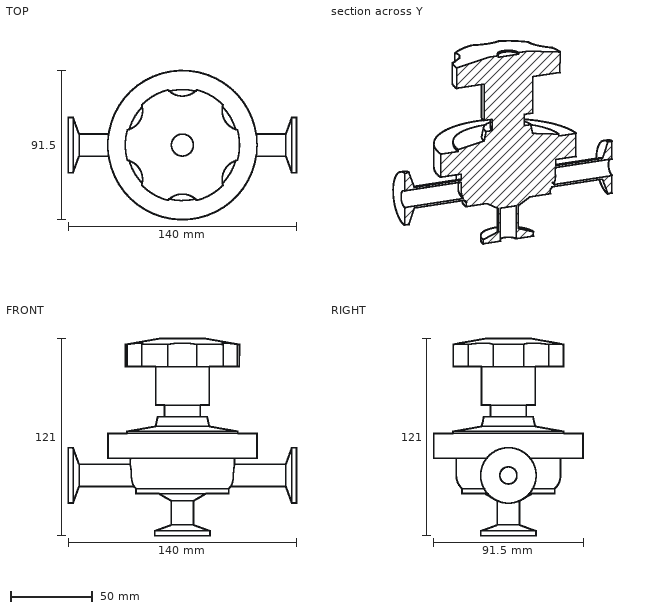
import cadquery as cq
import math


SIDE_PORT_REACH = 70.0
BOTTOM_Z = -37.0
TOP_Z = 84.0

TUBE_RADIUS = 13.8 / 2
BORE_RADIUS = 10.5 / 2
FERRULE_RADIUS = 34.0 / 2
FERRULE_LIP = 3.0
FERRULE_CONE_ANGLE = 20.0

BODY_RADIUS = 64.0 / 2
BODY_CURVE_RADIUS = 11.0
BASE_RADIUS = 57.0 / 2
BASE_TOP_Z = -8.2
BASE_BOTTOM_Z = -11.2
HUB_RADIUS = 14.5
HUB_CONE_ANGLE = 30.0

CLAMP_RADIUS = 91.5 / 2
CLAMP_BOTTOM_Z = 10.5
CLAMP_TOP_Z = 25.8
LID_RADIUS = 68.0 / 2
LID_RIM_TOP_Z = 27.0
DOME_ANGLE = 10.0

NECK_BOTTOM_RADIUS = 33.0 / 2
NECK_TOP_RADIUS = 15.2
NECK_TOP_Z = 36.0
STEM_RADIUS = 22.0 / 2
SLEEVE_RADIUS = 33.0 / 2
SLEEVE_BOTTOM_Z = 43.0

WHEEL_RADIUS = 35.0
WHEEL_BOTTOM_Z = 66.7
WHEEL_FLAT_RADIUS = 13.5
RECESS_RADIUS = 13.5 / 2
RECESS_DEPTH = 1.0
SCALLOP_COUNT = 6
SCALLOP_RADIUS = 12.0
SCALLOP_CENTER_RADIUS = 42.0
FIRST_SCALLOP_ANGLE = 90.0


def cone_rise(outer_radius, inner_radius, angle):
    """Axial height of a cone whose side leans `angle` degrees from the radial plane."""
    return (outer_radius - inner_radius) * math.tan(math.radians(angle))


def cylinder(radius, bottom_z, top_z):
    return cq.Workplane("XY").workplane(offset=bottom_z).circle(radius).extrude(top_z - bottom_z)


def revolve_profile(profile):
    """Turn a closed (radius, z) outline about the Z axis."""
    return profile.close().revolve(360, (0, 0, 0), (0, 1, 0))


def make_body():
    """Cup with a rounded lower edge, a base disc and a conical hub for the lower tube."""
    curve_center = BODY_RADIUS - BODY_CURVE_RADIUS

    def curve_point(z):
        return (curve_center + math.sqrt(BODY_CURVE_RADIUS**2 - z**2), z)

    hub_bottom_z = BASE_BOTTOM_Z - cone_rise(HUB_RADIUS, TUBE_RADIUS, HUB_CONE_ANGLE)
    curve_end = curve_point(BASE_TOP_Z)
    profile = (
        cq.Workplane("XZ")
        .moveTo(0, CLAMP_BOTTOM_Z)
        .lineTo(BODY_RADIUS, CLAMP_BOTTOM_Z)
        .lineTo(BODY_RADIUS, 0)
        .threePointArc(curve_point(BASE_TOP_Z / 2), curve_end)
        .lineTo(BASE_RADIUS, BASE_TOP_Z)
        .lineTo(BASE_RADIUS, BASE_BOTTOM_Z)
        .lineTo(HUB_RADIUS, BASE_BOTTOM_Z)
        .lineTo(TUBE_RADIUS, hub_bottom_z)
        .lineTo(0, hub_bottom_z)
    )
    return revolve_profile(profile)


def make_bonnet():
    """Clamp ring, domed lid, tapered neck, stem and handwheel sleeve."""
    neck_bottom_z = LID_RIM_TOP_Z + cone_rise(LID_RADIUS, NECK_BOTTOM_RADIUS, DOME_ANGLE)
    profile = (
        cq.Workplane("XZ")
        .moveTo(0, CLAMP_BOTTOM_Z)
        .lineTo(CLAMP_RADIUS, CLAMP_BOTTOM_Z)
        .lineTo(CLAMP_RADIUS, CLAMP_TOP_Z)
        .lineTo(LID_RADIUS, CLAMP_TOP_Z)
        .lineTo(LID_RADIUS, LID_RIM_TOP_Z)
        .lineTo(NECK_BOTTOM_RADIUS, neck_bottom_z)
        .lineTo(NECK_TOP_RADIUS, NECK_TOP_Z)
        .lineTo(STEM_RADIUS, NECK_TOP_Z)
        .lineTo(STEM_RADIUS, SLEEVE_BOTTOM_Z)
        .lineTo(SLEEVE_RADIUS, SLEEVE_BOTTOM_Z)
        .lineTo(SLEEVE_RADIUS, WHEEL_BOTTOM_Z)
        .lineTo(0, WHEEL_BOTTOM_Z)
    )
    return revolve_profile(profile)


def make_handwheel():
    """Domed wheel with finger scallops and a shallow round recess on top."""
    rim_top_z = TOP_Z - cone_rise(WHEEL_RADIUS, WHEEL_FLAT_RADIUS, DOME_ANGLE)
    profile = (
        cq.Workplane("XZ")
        .moveTo(0, WHEEL_BOTTOM_Z)
        .lineTo(WHEEL_RADIUS, WHEEL_BOTTOM_Z)
        .lineTo(WHEEL_RADIUS, rim_top_z)
        .lineTo(WHEEL_FLAT_RADIUS, TOP_Z)
        .lineTo(0, TOP_Z)
    )
    wheel = revolve_profile(profile)
    scallops = (
        cq.Workplane("XY")
        .workplane(offset=WHEEL_BOTTOM_Z)
        .polarArray(SCALLOP_CENTER_RADIUS, FIRST_SCALLOP_ANGLE, 360, SCALLOP_COUNT)
        .circle(SCALLOP_RADIUS)
        .extrude(TOP_Z - WHEEL_BOTTOM_Z)
    )
    return wheel.cut(scallops).cut(cylinder(RECESS_RADIUS, TOP_Z - RECESS_DEPTH, TOP_Z))


def make_port(reach):
    """Hollow tube from the origin down to -reach on Z, ending in a ferrule."""
    lip_z = FERRULE_LIP - reach
    cone_end_z = lip_z + cone_rise(FERRULE_RADIUS, TUBE_RADIUS, FERRULE_CONE_ANGLE)
    profile = (
        cq.Workplane("XZ")
        .moveTo(BORE_RADIUS, 0)
        .lineTo(TUBE_RADIUS, 0)
        .lineTo(TUBE_RADIUS, cone_end_z)
        .lineTo(FERRULE_RADIUS, lip_z)
        .lineTo(FERRULE_RADIUS, -reach)
        .lineTo(BORE_RADIUS, -reach)
    )
    return revolve_profile(profile)


result = make_body().union(make_bonnet()).union(make_handwheel())
result = result.union(make_port(-BOTTOM_Z))
for side_angle in (90, -90):
    side_port = make_port(SIDE_PORT_REACH).rotate((0, 0, 0), (0, 1, 0), side_angle)
    result = result.union(side_port)